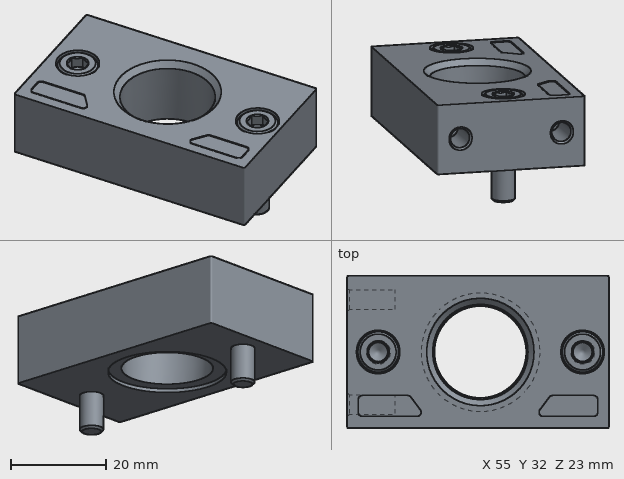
import cadquery as cq
import math

LENGTH = 55.0
WIDTH = 32.0
HEIGHT = 14.95
CORNER_RADIUS = 0.4

CENTRE_X = 0.5

BORE_MOUTH_DIAMETER = 22.55
BORE_TOP_DIAMETER = 20.0
BORE_BOTTOM_DIAMETER = 19.25
MOUTH_DEPTH = 1.25
BORE_LIP_HEIGHT = 0.3
RECESS_DIAMETER = 24.9
RECESS_DEPTH = 0.8

SCREW_SPACING = 42.9
SHANK_DIAMETER = 5.0
SHANK_PROJECTION = 8.05
TIP_CHAMFER = 0.5
HEAD_DIAMETER = 8.5
HEAD_HEIGHT = 5.0
HEAD_CHAMFER = 0.5
COUNTERBORE_DIAMETER = 9.15
SOCKET_ACROSS_FLATS = 4.0
SOCKET_DEPTH = 2.5
SOCKET_MOUTH_CHAMFER = 0.35
SOCKET_POINT_ANGLE = 120.0

END_HOLE_SPACING = 22.0
END_HOLE_DIAMETER = 4.1
END_HOLE_MOUTH_DIAMETER = 5.0
END_HOLE_DEPTH = 10.0

LABEL_OUTER_X = 25.15
LABEL_BOTTOM_Y = -13.55
LABEL_HEIGHT = 4.4
LABEL_SLANT = 3.3
LEFT_LABEL_LENGTH = 14.1
RIGHT_LABEL_LENGTH = 13.2
LABEL_CORNER_RADIUS = 0.9
LABEL_DEPTH = 0.2

SCREW_XS = [CENTRE_X + side * SCREW_SPACING / 2 for side in (-1, 1)]


def bore():
    mouth_radius = BORE_MOUTH_DIAMETER / 2
    recess_radius = RECESS_DIAMETER / 2
    bottom_radius = BORE_BOTTOM_DIAMETER / 2
    top_radius = BORE_TOP_DIAMETER / 2
    profile = (
        cq.Workplane("XZ")
        .lineTo(recess_radius, 0)
        .lineTo(recess_radius, RECESS_DEPTH)
        .lineTo(bottom_radius, RECESS_DEPTH)
        .lineTo(bottom_radius, RECESS_DEPTH + BORE_LIP_HEIGHT)
        .lineTo(top_radius, HEIGHT - MOUTH_DEPTH)
        .lineTo(mouth_radius, HEIGHT)
        .lineTo(0, HEIGHT)
        .close()
    )
    return profile.revolve(360, (0, 0), (0, 1)).translate((CENTRE_X, 0, 0))


def screw_hole(x):
    shank_hole = cq.Workplane("XY").circle(SHANK_DIAMETER / 2).extrude(HEIGHT)
    counterbore = (
        cq.Workplane("XY", origin=(0, 0, HEIGHT - HEAD_HEIGHT))
        .circle(COUNTERBORE_DIAMETER / 2)
        .extrude(HEAD_HEIGHT)
    )
    return shank_hole.union(counterbore).translate((x, 0, 0))


def end_hole(y):
    radius = END_HOLE_DIAMETER / 2
    mouth_radius = END_HOLE_MOUTH_DIAMETER / 2
    profile = (
        cq.Workplane("XY")
        .lineTo(0, mouth_radius)
        .lineTo(mouth_radius - radius, radius)
        .lineTo(END_HOLE_DEPTH, radius)
        .lineTo(END_HOLE_DEPTH, 0)
        .close()
    )
    return profile.revolve(360, (0, 0), (1, 0)).translate((-LENGTH / 2, y, HEIGHT / 2))


def label_recess(side, length):
    """Recess with one slanted end that points to the middle; side is -1 or 1 along X."""
    outer_x = side * LABEL_OUTER_X
    bottom_tip_x = side * (LABEL_OUTER_X - length)
    top_tip_x = bottom_tip_x + side * LABEL_SLANT
    top_y = LABEL_BOTTOM_Y + LABEL_HEIGHT
    outline = [
        (outer_x, LABEL_BOTTOM_Y),
        (bottom_tip_x, LABEL_BOTTOM_Y),
        (top_tip_x, top_y),
        (outer_x, top_y),
    ]
    return (
        cq.Workplane("XY", origin=(0, 0, HEIGHT - LABEL_DEPTH))
        .polyline(outline)
        .close()
        .extrude(LABEL_DEPTH)
        .edges("|Z")
        .fillet(LABEL_CORNER_RADIUS)
    )


def make_block():
    block = cq.Workplane("XY").box(LENGTH, WIDTH, HEIGHT, centered=(True, True, False))
    block = block.edges("|Z").fillet(CORNER_RADIUS).cut(bore())
    for x in SCREW_XS:
        block = block.cut(screw_hole(x))
    for side in (-1, 1):
        block = block.cut(end_hole(side * END_HOLE_SPACING / 2))
    block = block.cut(label_recess(-1, LEFT_LABEL_LENGTH))
    return block.cut(label_recess(1, RIGHT_LABEL_LENGTH))


def socket():
    """Hexagon socket with corners along Y, a conical mouth and a drilled point at the bottom."""
    floor_z = HEIGHT - SOCKET_DEPTH
    corner_radius = SOCKET_ACROSS_FLATS / math.sqrt(3)
    flat_radius = SOCKET_ACROSS_FLATS / 2
    point_depth = flat_radius / math.tan(math.radians(SOCKET_POINT_ANGLE / 2))
    hexagon = (
        cq.Workplane("XY", origin=(0, 0, floor_z))
        .transformed(rotate=(0, 0, 90))
        .polygon(6, 2 * corner_radius)
        .extrude(SOCKET_DEPTH)
    )
    point = cq.Workplane(cq.Solid.makeCone(0, flat_radius, point_depth))
    point = point.translate((0, 0, floor_z - point_depth))
    mouth = cq.Workplane(
        cq.Solid.makeCone(corner_radius - SOCKET_MOUTH_CHAMFER, corner_radius, SOCKET_MOUTH_CHAMFER)
    ).translate((0, 0, HEIGHT - SOCKET_MOUTH_CHAMFER))
    return hexagon.union(point).union(mouth)


def make_screw(x):
    head = (
        cq.Workplane("XY", origin=(0, 0, HEIGHT - HEAD_HEIGHT))
        .circle(HEAD_DIAMETER / 2)
        .extrude(HEAD_HEIGHT)
        .faces(">Z")
        .chamfer(HEAD_CHAMFER)
    )
    shank = (
        cq.Workplane("XY", origin=(0, 0, -SHANK_PROJECTION))
        .circle(SHANK_DIAMETER / 2)
        .extrude(SHANK_PROJECTION + HEIGHT - HEAD_HEIGHT)
        .faces("<Z")
        .chamfer(TIP_CHAMFER)
    )
    return head.union(shank).cut(socket()).translate((x, 0, 0))


block = make_block()
screws = [make_screw(x) for x in SCREW_XS]
result = cq.Compound.makeCompound([block.val(), *[screw.val() for screw in screws]])